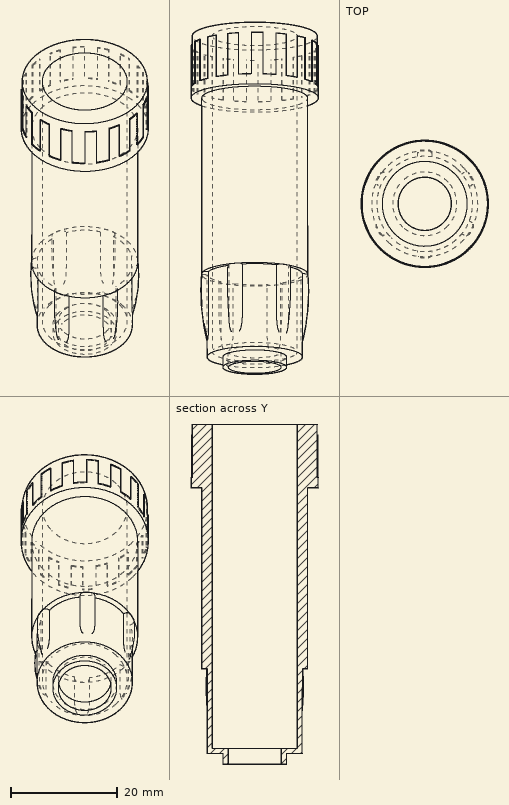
import cadquery as cq
import math

total_height = 64.0
spigot_height = 2.0
body_bottom = 18.0
collar_height = 12.0
collar_band_height = 2.0
collar_bottom = total_height - collar_height

spigot_diameter = 12.0
plug_diameter = 18.0
body_diameter = 20.0
collar_diameter = 24.0
collar_groove_diameter = 23.6
bore_diameter = 16.0
outlet_diameter = 10.0

floor_thickness = (plug_diameter - bore_diameter) / 2
bore_bottom = spigot_height + floor_thickness

groove_count = 16
groove_width = 2.5
groove_cutter_length = 3.85

rib_count = 6
rib_first_angle = 30.0
rib_width = 2.8
rib_edge_radius = 0.9
rib_crest_radius = 10.2
rib_crest_height = 14.7
rib_tip_height = 5.0
rib_buried_length = 0.9
rib_root_radius = (bore_diameter + plug_diameter) / 4


def cylinder(diameter, bottom, top):
    return cq.Workplane("XY").workplane(offset=bottom).circle(diameter / 2).extrude(top - bottom)


def tube_blank():
    """Stacked cylinders: spigot, plug, body and collar with a reduced top band."""
    groove_top = total_height - collar_band_height
    blank = cylinder(spigot_diameter, 0, spigot_height)
    blank = blank.union(cylinder(plug_diameter, spigot_height, body_bottom))
    blank = blank.union(cylinder(body_diameter, body_bottom, collar_bottom))
    blank = blank.union(cylinder(collar_diameter, collar_bottom, groove_top))
    return blank.union(cylinder(collar_groove_diameter, groove_top, total_height))


def collar_grooves():
    """Shallow upright grooves, each closed below by the lower collar band."""
    bottom = collar_bottom + collar_band_height
    height = total_height - collar_band_height - bottom
    bars = (
        cq.Workplane("XY")
        .workplane(offset=bottom)
        .polarArray(collar_diameter / 2, 0, 360, groove_count)
        .rect(groove_cutter_length, groove_width)
        .extrude(height)
    )
    return bars.cut(cylinder(collar_groove_diameter, bottom, bottom + height))


def crush_rib():
    """One rib on the +X side, its crest an arc that runs down into the plug surface."""
    tip_radius = plug_diameter / 2
    drop = rib_crest_radius - tip_radius
    rise = rib_crest_height - rib_tip_height
    bow_radius = (rise**2 + drop**2) / (2 * drop)

    def crest_at(height):
        offset = height - rib_crest_height
        return rib_crest_radius - bow_radius + math.sqrt(bow_radius**2 - offset**2)

    buried_end = rib_tip_height - rib_buried_length
    bar = (
        cq.Workplane("XZ")
        .moveTo(rib_root_radius, buried_end)
        .lineTo(crest_at(buried_end), buried_end)
        .threePointArc((rib_crest_radius, rib_crest_height), (crest_at(body_bottom), body_bottom))
        .lineTo(rib_root_radius, body_bottom)
        .close()
        .extrude(rib_width / 2, both=True)
    )
    return bar.edges("%CIRCLE").fillet(rib_edge_radius)


part = tube_blank().cut(collar_grooves())

rib = crush_rib()
for index in range(rib_count):
    angle = rib_first_angle + index * 360 / rib_count
    part = part.union(rib.rotate((0, 0, 0), (0, 0, 1), angle))

part = part.cut(cylinder(bore_diameter, bore_bottom, total_height))
result = part.cut(cylinder(outlet_diameter, 0, bore_bottom))